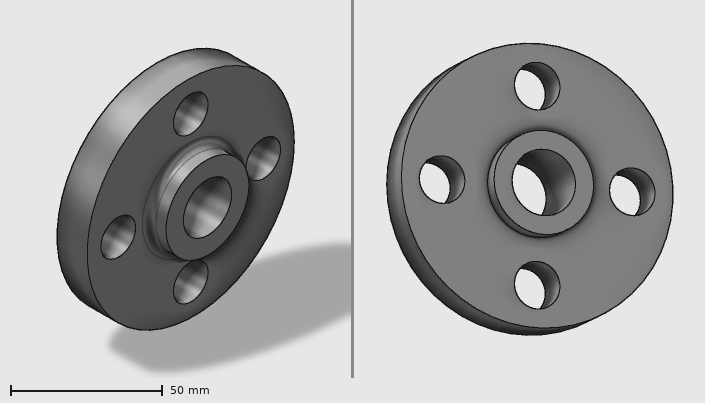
import cadquery as cq
import math

flange_diameter = 95.25
flange_thickness = 14.3

overall_length = 28.6
spigot_diameter = 34.9
spigot_length = 6.4
hub_diameter = 38.1
hub_length = overall_length - spigot_length - flange_thickness
hub_straight_length = 4.8

fillet_radius = hub_length - hub_straight_length

bore_diameter = 22.2
bolt_hole_diameter = 15.9
bolt_circle_diameter = 66.7
bolt_hole_count = 4

flange_back = spigot_length
flange_front = flange_back + flange_thickness
fillet_end = flange_front + fillet_radius


def revolved_body():
    """Solid of revolution about X: spigot, flange, fillet and hub."""
    spigot_radius = spigot_diameter / 2
    flange_radius = flange_diameter / 2
    hub_radius = hub_diameter / 2

    fillet_offset = fillet_radius * (1 - math.cos(math.pi / 4))
    fillet_middle = (flange_front + fillet_offset, hub_radius + fillet_offset)
    return (
        cq.Workplane("XY")
        .moveTo(0, 0)
        .lineTo(0, spigot_radius)
        .lineTo(flange_back, spigot_radius)
        .lineTo(flange_back, flange_radius)
        .lineTo(flange_front, flange_radius)
        .lineTo(flange_front, hub_radius + fillet_radius)
        .threePointArc(fillet_middle, (fillet_end, hub_radius))
        .lineTo(overall_length, hub_radius)
        .lineTo(overall_length, 0)
        .close()
        .revolve(360, (0, 0, 0), (1, 0, 0))
    )


def through_holes():
    """Cutters for the central bore and the ring of bolt holes."""
    bore = cq.Workplane("YZ").circle(bore_diameter / 2).extrude(overall_length)
    bolt_holes = (
        cq.Workplane("YZ")
        .polarArray(bolt_circle_diameter / 2, 0, 360, bolt_hole_count)
        .circle(bolt_hole_diameter / 2)
        .extrude(overall_length)
    )
    return bore.union(bolt_holes)


result = revolved_body().cut(through_holes())